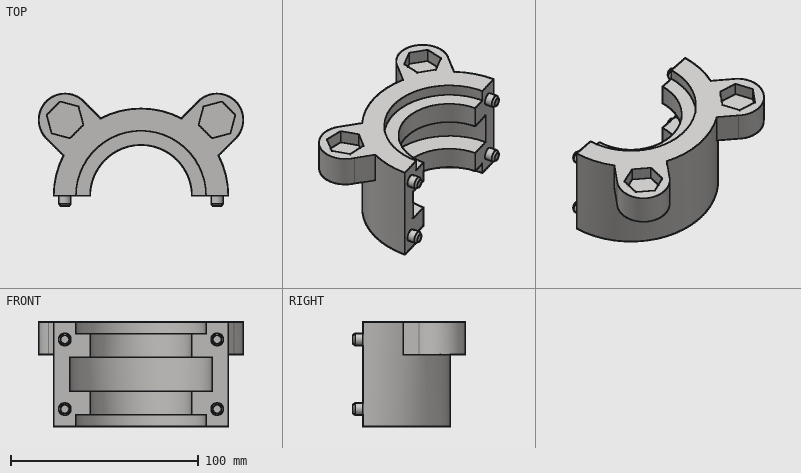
import cadquery as cq
import math

width = 109.3
height = 56.0
outer_radius = 46.7
bore_radius = 27.1

end_recess_radius = 34.8
end_recess_depth = 6.5
groove_radius = 38.0
groove_height = 18.2

lug_radius = 14.1
arm_width = 28.1
lug_height = 17.5
lug_angles = (45, 135)
lug_distance = (width / 2 - lug_radius) * math.sqrt(2)

nut_across_corners = 20.3
nut_depth = 7.7
corner_angle = 30

pin_radius = 3.3
pin_length = 5.5
pin_root_depth = 3.3
pin_spacing_x = 81.3
pin_spacing_z = 37.2
pin_tip_radius = 2.3
pin_tip_length = 1.3


def cylinder(radius, bottom, length):
    return cq.Workplane("XY").workplane(offset=bottom).circle(radius).extrude(length)


def make_lug(angle):
    """Round-ended arm running from the body axis out along the given angle."""
    bottom = height - lug_height
    arm = (
        cq.Workplane("XY")
        .workplane(offset=bottom)
        .center(lug_distance / 2, 0)
        .rect(lug_distance, arm_width)
        .extrude(lug_height)
    )
    end = cylinder(lug_radius, bottom, lug_height).translate((lug_distance, 0, 0))
    return arm.union(end).rotate((0, 0, 0), (0, 0, 1), angle)


def make_nut_pocket(angle):
    pocket = (
        cq.Workplane("XY")
        .workplane(offset=height - nut_depth)
        .polygon(6, nut_across_corners)
        .extrude(nut_depth)
        .rotate((0, 0, 0), (0, 0, 1), corner_angle)
    )
    return pocket.translate((lug_distance, 0, 0)).rotate((0, 0, 0), (0, 0, 1), angle)


def make_bore():
    """Stepped bore, symmetric about mid-height."""
    bore = cylinder(bore_radius, 0, height)
    bore = bore.union(cylinder(end_recess_radius, 0, end_recess_depth))
    bore = bore.union(cylinder(end_recess_radius, height - end_recess_depth, end_recess_depth))
    return bore.union(cylinder(groove_radius, (height - groove_height) / 2, groove_height))


def make_pin(x, z):
    """Pin with a tapered tip; its root reaches into the body for a sound joint."""
    profile = (
        cq.Workplane("XY")
        .moveTo(0, pin_root_depth)
        .lineTo(pin_radius, pin_root_depth)
        .lineTo(pin_radius, pin_tip_length - pin_length)
        .lineTo(pin_tip_radius, -pin_length)
        .lineTo(0, -pin_length)
        .close()
    )
    return profile.revolve(360, (0, 0, 0), (0, 1, 0)).translate((x, 0, z))


body = cylinder(outer_radius, 0, height)
for lug_angle in lug_angles:
    body = body.union(make_lug(lug_angle))
body = body.cut(make_bore())
for lug_angle in lug_angles:
    body = body.cut(make_nut_pocket(lug_angle))

half_space = cq.Workplane("XY").box(width, width, height, centered=(True, False, False))
result = body.intersect(half_space)

for side in (-1, 1):
    for level in (-1, 1):
        pin = make_pin(side * pin_spacing_x / 2, height / 2 + level * pin_spacing_z / 2)
        result = result.union(pin)